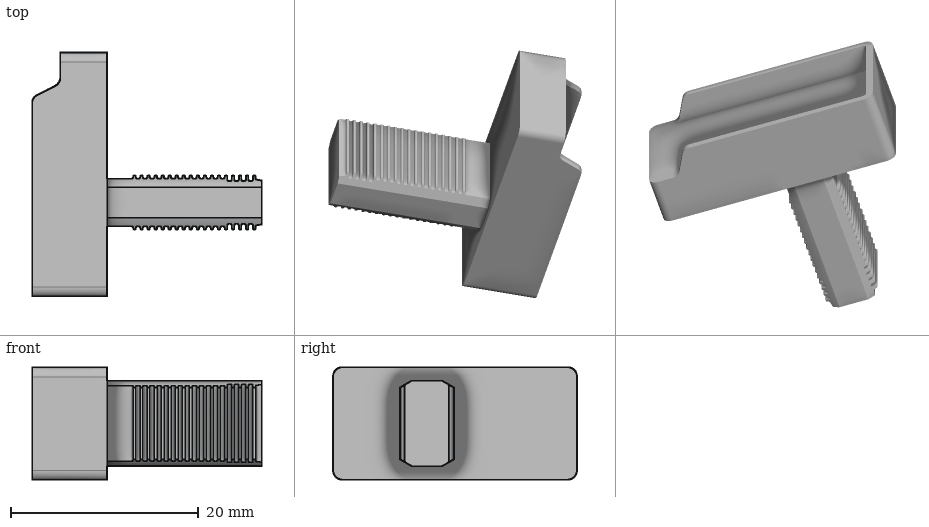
import cadquery as cq
import math

head_depth = 8.0
head_length = 26.0
head_height = 12.0
head_corner_radius = 1.01

step_depth = 3.0
step_ramp_start = 3.3
step_ramp_end = 4.8
step_fillet = 1.0

rim_thickness = 0.75
pocket_corner_radius = 0.4
pocket_draft_angle = 1.5

shank_end = 24.5
shank_offset_y = -3.0
shank_half_height = 4.55
shank_flat_half_width = 1.6
shank_half_width = 2.55
shank_slope_angle = 30.0

rib_count = 18
first_rib_x = 10.92
last_rib_x = 23.65
rib_pitch = (last_rib_x - first_rib_x) / (rib_count - 1)
rib_half_width = 0.143
rib_crest = 2.89
rib_crown_height = 0.1
rib_foot_fillet = 0.15

shallow_groove_count = 13
deep_groove_floor = 2.3

nose_start = 2.47
nose_end = 2.35


def make_head():
    """Block with four long edges rounded, and a ramped step at its +Y end."""
    block = (
        cq.Workplane("XY")
        .box(head_depth, head_length, head_height, centered=(False, True, True))
        .edges("|X")
        .fillet(head_corner_radius)
    )
    top_y = head_length / 2
    profile = (
        cq.Workplane("XY")
        .polyline([
            (0, -top_y),
            (0, top_y - step_ramp_end),
            (step_depth, top_y - step_ramp_start),
            (step_depth, top_y),
            (head_depth, top_y),
            (head_depth, -top_y),
        ])
        .close()
        .extrude(head_height / 2, both=True)
    )
    ramp_ends = [(0, top_y - step_ramp_end), (step_depth, top_y - step_ramp_start)]
    for x, y in ramp_ends:
        profile = profile.edges(cq.NearestToPointSelector((x, y, 0))).fillet(step_fillet)
    return block.intersect(profile)


def make_pocket():
    """Drafted pocket volume that runs out past the +Y end of the head."""
    width = head_height - 2 * rim_thickness
    overrun = head_length / 2
    near_y = -head_length / 2 + rim_thickness
    far_y = head_length / 2 + overrun
    return (
        cq.Workplane("YZ")
        .center((near_y + far_y) / 2, 0)
        .sketch()
        .rect(far_y - near_y, width)
        .vertices()
        .fillet(pocket_corner_radius)
        .finalize()
        .extrude(step_depth, taper=pocket_draft_angle)
    )


def make_ribbed_side():
    """Half of the shank on the +Y side, with crowned ribs filleted into its face."""
    shoulder_y = rib_crest - rib_crown_height
    outline = cq.Workplane("XY").moveTo(head_depth, 0).lineTo(head_depth, shank_half_width)
    rib_feet = []
    floor_y = shank_half_width
    for index in range(rib_count):
        left_x = first_rib_x + index * rib_pitch - rib_half_width
        right_x = left_x + 2 * rib_half_width
        rib_feet.append((left_x, floor_y))
        outline = outline.lineTo(left_x, floor_y).lineTo(left_x, shoulder_y)
        outline = outline.threePointArc(((left_x + right_x) / 2, rib_crest), (right_x, shoulder_y))
        if index == rib_count - 1:
            floor_y = nose_start
        elif index >= shallow_groove_count:
            floor_y = deep_groove_floor
        outline = outline.lineTo(right_x, floor_y)
        rib_feet.append((right_x, floor_y))
    outline = outline.lineTo(shank_end, nose_end).lineTo(shank_end, 0).close()
    side = outline.extrude(shank_half_height, both=True)

    def is_rib_foot(edge):
        middle = edge.Center()
        return any(math.dist((middle.x, middle.y), foot) < rib_foot_fillet / 10 for foot in rib_feet)

    return side.edges("|Z").filter(is_rib_foot).fillet(rib_foot_fillet)


def make_shank():
    """Ribbed bar trimmed to a prism with sloped upper and lower edges."""
    side = make_ribbed_side()
    bar = side.union(side.mirror("XZ"))

    slope_drop = (rib_crest - shank_flat_half_width) * math.tan(math.radians(shank_slope_angle))
    edge_z = shank_half_height - slope_drop
    envelope = (
        cq.Workplane("YZ")
        .polyline([
            (-shank_flat_half_width, shank_half_height),
            (shank_flat_half_width, shank_half_height),
            (rib_crest, edge_z),
            (rib_crest, -edge_z),
            (shank_flat_half_width, -shank_half_height),
            (-shank_flat_half_width, -shank_half_height),
            (-rib_crest, -edge_z),
            (-rib_crest, edge_z),
        ])
        .close()
        .extrude(shank_end)
    )
    return bar.intersect(envelope).translate((0, shank_offset_y, 0))


result = make_head().cut(make_pocket()).union(make_shank())